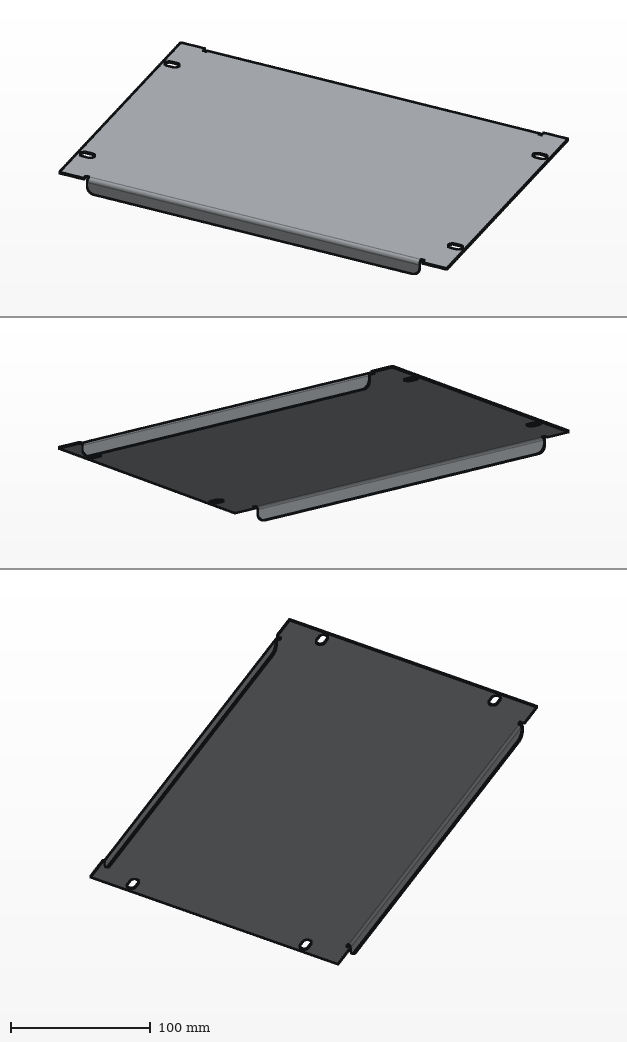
import cadquery as cq

length = 308.0
width = 200.0
height = 12.0
thickness = 1.2

bend_radius = 3.0
flange_inset = 22.0
flange_corner_radius = 6.0
flange_length = length - 2 * flange_inset

relief_width = 2.5
relief_depth = 3.5
notched_length = flange_length + 2 * relief_width

slot_length = 11.0
slot_width = 6.5
slot_edge_distance = 7.7
slot_spacing_x = length - 2 * slot_edge_distance
slot_spacing_y = 139.5


def make_plate():
    """Flat sheet with its top face at Z = 0, set back where the flanges fold down."""
    plate = cq.Workplane("XY").box(length, width, thickness, centered=(True, True, False))
    plate = plate.translate((0, 0, -thickness))
    for side in (-1, 1):
        notch = (
            cq.Workplane("XY")
            .center(0, side * (width - relief_depth) / 2)
            .rect(notched_length, relief_depth)
            .extrude(-thickness)
        )
        plate = plate.cut(notch)
    return plate


def make_channel():
    """Central channel: a web with a rounded bend and a flange on each long edge."""
    inner_radius = bend_radius - thickness
    outer = (
        cq.Workplane("XY")
        .box(flange_length, width, height, centered=(True, True, False))
        .translate((0, 0, -height))
        .edges("|X and >Z")
        .fillet(bend_radius)
    )
    inner = (
        cq.Workplane("XY")
        .box(flange_length, width - 2 * thickness, height - thickness, centered=(True, True, False))
        .translate((0, 0, -height))
        .edges("|X and >Z")
        .fillet(inner_radius)
    )
    return outer.cut(inner).edges("|Y and <Z").fillet(flange_corner_radius)


def make_slots():
    """Four round-ended mounting slots near the corners."""
    return (
        cq.Workplane("XY")
        .rarray(slot_spacing_x, slot_spacing_y, 2, 2)
        .slot2D(slot_length, slot_width)
        .extrude(-thickness)
    )


result = make_plate().union(make_channel()).cut(make_slots())